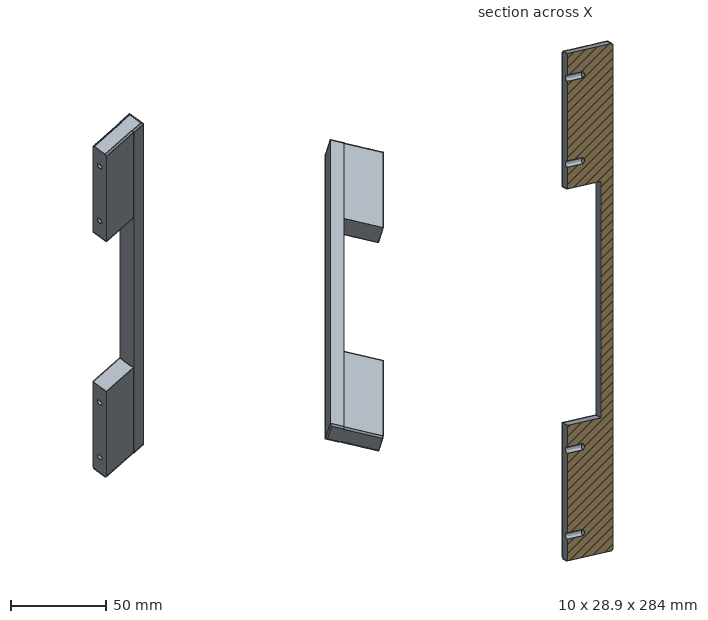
import cadquery as cq
import math

length = 284.0
depth = 28.89
grip_width = 10.0
grip_depth = 8.0
inner_crown = 0.4

foot_width = 9.6
foot_length = 76.0

end_chamfer = 1.0

hole_spacings = (160.0, 256.0)
hole_radius = 1.65
hole_depth = 10.0
drill_point_angle = 118.0

half_length = length / 2
back_y = depth / 2
front_y = -depth / 2
crest_y = back_y - grip_depth
crown_edge_y = crest_y + inner_crown
foot_root_y = back_y - grip_depth / 2


def make_grip():
    """Full-length bar with a flat back and a crowned inner face."""
    half_width = grip_width / 2
    bar = (
        cq.Workplane("XY")
        .workplane(offset=-half_length)
        .moveTo(-half_width, crown_edge_y)
        .threePointArc((0, crest_y), (half_width, crown_edge_y))
        .lineTo(half_width, back_y)
        .lineTo(-half_width, back_y)
        .close()
        .extrude(length)
    )
    return bar.faces("<Z or >Z").edges(">Y or <X or >X").chamfer(end_chamfer)


def make_foot(end):
    """Foot at the top (end = 1) or bottom (end = -1), rooted inside the grip."""
    foot_depth = foot_root_y - front_y
    center_y = (foot_root_y + front_y) / 2
    center_z = end * (half_length - foot_length / 2)
    outer_face = ">Z" if end > 0 else "<Z"
    foot = cq.Workplane("XY").box(foot_width, foot_depth, foot_length)
    foot = foot.faces(outer_face).edges("|Y").chamfer(end_chamfer)
    return foot.translate((0, center_y, center_z))


def make_hole(z):
    """Blind drilled hole entering the foot face along +Y at height z."""
    point_depth = hole_radius / math.tan(math.radians(drill_point_angle / 2))
    half_section = [
        (0, 0),
        (hole_radius, 0),
        (hole_radius, hole_depth),
        (0, hole_depth + point_depth),
    ]
    return (
        cq.Workplane("XY", origin=(0, front_y, z))
        .polyline(half_section)
        .close()
        .revolve(360, (0, 0, 0), (0, 1, 0))
    )


result = make_grip()
for end in (-1, 1):
    result = result.union(make_foot(end))
for spacing in hole_spacings:
    for side in (-1, 1):
        result = result.cut(make_hole(side * spacing / 2))